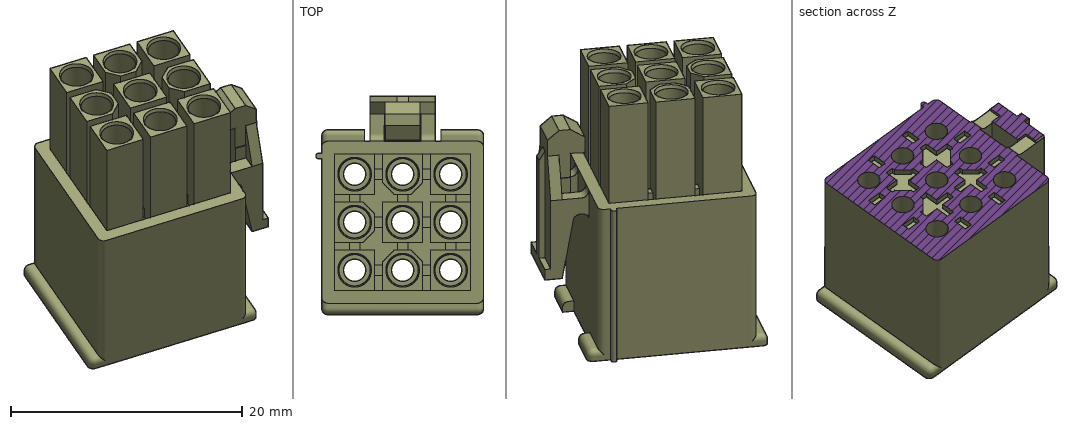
import cadquery as cq

body_size = 14.0
body_height = 14.43
total_height = 23.7
corner_radius = 0.55
half_body = body_size / 2

flange_reach = 1.0
flange_height = 1.0
back_flange_gap = 6.6

rib_width = 0.5
rib_reach = 0.5
rib_from_back = 1.28

tower_size = 3.45
tower_pitch = 4.15
tower_chamfer = 1.0
socket_diameter = 2.7
socket_depth = total_height - body_height
contact_diameter = 1.9
mouth_diameter = 2.92
mouth_depth = 0.3

gap_depth = 1.0
web_width = 0.9
array_size = 2 * tower_pitch + tower_size

latch_width = 5.66
latch_out = 3.89
plate_out = 3.37
stem_outer_out = 2.35
stem_inner_out = 1.35
lever_bottom = 6.19
pad_top = 7.2
arch_spring = 11.8
arch_crown = 12.2
bridge_top = 13.72
bridge_fillet = 0.65
window_width = 3.15
shoulder_top = 15.17
stem_width = 3.0
hook_bottom = 17.37
hook_root = 17.45
hook_tip_out = 0.07
hook_shoulder = 18.9
hook_top = 19.72
spine_width = 0.97
spine_top = 16.55

keyed_towers = {(0, 1): (0, -1), (-1, 0): (1, 0), (0, -1): (0, 1)}
positions = (-1, 0, 1)


def box(x_range, y_range, z_range):
    """Box spanning the given (low, high) range on each axis."""
    sizes = [high - low for low, high in (x_range, y_range, z_range)]
    corner = (x_range[0], y_range[0], z_range[0])
    return cq.Workplane("XY").box(*sizes, centered=False).translate(corner)


def housing():
    """Main block with rounded upright corners."""
    block = cq.Workplane("XY").box(body_size, body_size, body_height, centered=(True, True, False))
    return block.edges("|Z").fillet(corner_radius)


def foot_flanges():
    """Rounded foot bars, the back one interrupted below the latch."""
    depth = body_size + 2 * flange_reach
    foot = cq.Workplane("XY").box(body_size, depth, flange_height, centered=(True, True, False))
    foot = foot.edges("|Z").fillet(corner_radius).faces(">Z").edges().fillet(corner_radius)
    half_gap = back_flange_gap / 2
    return foot.cut(box((-half_gap, half_gap), (half_body, depth), (0, flange_height)))


def polarising_rib():
    """Full-height rib with a half-round nose."""
    nose_radius = rib_width / 2
    nose_x = -half_body - rib_reach + nose_radius
    rib_y = half_body - rib_from_back
    nose = cq.Workplane("XY").center(nose_x, rib_y).circle(nose_radius).extrude(body_height)
    rib_y_range = (rib_y - nose_radius, rib_y + nose_radius)
    return nose.union(box((nose_x, -half_body + rib_reach), rib_y_range, (0, body_height)))


def gaps_between_towers():
    """Crossed sunken gaps around the towers, less the webs that bridge them."""
    floor = body_height - gap_depth
    sketch = cq.Workplane("XY", origin=(0, 0, floor))
    gaps = sketch.rect(array_size, array_size).extrude(gap_depth)
    for across in positions:
        for along in (-tower_pitch / 2, tower_pitch / 2):
            centre = across * tower_pitch
            web_along_x = sketch.pushPoints([(along, centre)]).rect(tower_pitch, web_width).extrude(gap_depth)
            web_along_y = sketch.pushPoints([(centre, along)]).rect(web_width, tower_pitch).extrude(gap_depth)
            gaps = gaps.cut(web_along_x).cut(web_along_y)
    return gaps


def tower(column, row):
    """Square post standing on the gap floor, with keying corners where it has them."""
    base = body_height - gap_depth
    block = (
        cq.Workplane("XY", origin=(0, 0, base))
        .rect(tower_size, tower_size)
        .extrude(total_height - base)
    )
    if (column, row) in keyed_towers:
        facing = cq.Vector(*keyed_towers[(column, row)], 0)
        keyed_face = block.faces(cq.DirectionMinMaxSelector(facing))
        block = keyed_face.edges("|Z").chamfer(tower_chamfer)
    return block.translate((column * tower_pitch, row * tower_pitch, 0))


def terminal_bores():
    """Stepped round bore with a flared mouth, one down the axis of each tower."""
    step = total_height - socket_depth
    mouth = total_height - mouth_depth
    profile = [
        (0, 0),
        (contact_diameter / 2, 0),
        (contact_diameter / 2, step),
        (socket_diameter / 2, step),
        (socket_diameter / 2, mouth),
        (mouth_diameter / 2, total_height),
        (0, total_height),
    ]
    bore = cq.Workplane("XZ").polyline(profile).close().revolve(360, (0, 0, 0), (0, 1, 0)).val()
    centres = [(column * tower_pitch, row * tower_pitch) for column in positions for row in positions]
    return cq.Workplane("XY").pushPoints(centres).eachpoint(lambda place: bore.located(place))


def back_profile():
    """Sketch plane parallel to YZ whose first axis is the distance out from the back face."""
    return cq.Workplane("YZ", origin=(0, half_body, 0))


def latch_lever():
    """Full-width lever with the bridge that joins it to the housing."""
    lever = (
        back_profile()
        .moveTo(0, arch_spring)
        .threePointArc((stem_inner_out / 2, arch_crown), (stem_inner_out, arch_spring))
        .lineTo(stem_outer_out, lever_bottom)
        .lineTo(latch_out, lever_bottom)
        .lineTo(latch_out, pad_top)
        .lineTo(plate_out, pad_top)
        .lineTo(plate_out, bridge_top)
        .lineTo(bridge_fillet, bridge_top)
        .radiusArc((0, bridge_top + bridge_fillet), bridge_fillet)
        .close()
        .extrude(latch_width / 2, both=True)
    )
    half_window = window_width / 2
    window_y = (half_body, half_body + stem_inner_out)
    return lever.cut(box((-half_window, half_window), window_y, (arch_spring, body_height)))


def latch_hook():
    """Hook head on its stem, with the wider shoulder at the foot of the stem."""
    hook = (
        back_profile()
        .polyline([
            (stem_inner_out, bridge_top),
            (plate_out, bridge_top),
            (plate_out, hook_shoulder),
            (stem_outer_out, hook_top),
            (stem_inner_out, hook_top),
            (hook_tip_out, hook_shoulder),
            (hook_tip_out, hook_bottom),
            (stem_inner_out, hook_root),
        ])
        .close()
        .extrude(stem_width / 2, both=True)
    )
    half_window = window_width / 2
    shoulder_y = (half_body + stem_inner_out, half_body + stem_outer_out)
    return hook.union(box((-half_window, half_window), shoulder_y, (bridge_top, shoulder_top)))


def latch_gusset():
    """Tapered web rising from the lever's full width to the sides of the hook."""
    return (
        cq.Workplane("XZ", origin=(0, half_body + plate_out, 0))
        .polyline([
            (-latch_width / 2, bridge_top),
            (latch_width / 2, bridge_top),
            (stem_width / 2, hook_bottom),
            (-stem_width / 2, hook_bottom),
        ])
        .close()
        .extrude(plate_out - stem_outer_out)
    )


def latch_spine():
    """Narrow stiffening rib up the outer face of the lever, bevelled at the top."""
    return (
        back_profile()
        .polyline([
            (plate_out, lever_bottom),
            (latch_out, lever_bottom),
            (latch_out, spine_top),
            (plate_out, hook_bottom),
        ])
        .close()
        .extrude(spine_width / 2, both=True)
    )


result = housing().union(foot_flanges()).union(polarising_rib()).cut(gaps_between_towers())
for column in positions:
    for row in positions:
        result = result.union(tower(column, row))
result = result.cut(terminal_bores())
for latch_piece in (latch_lever(), latch_hook(), latch_gusset(), latch_spine()):
    result = result.union(latch_piece)